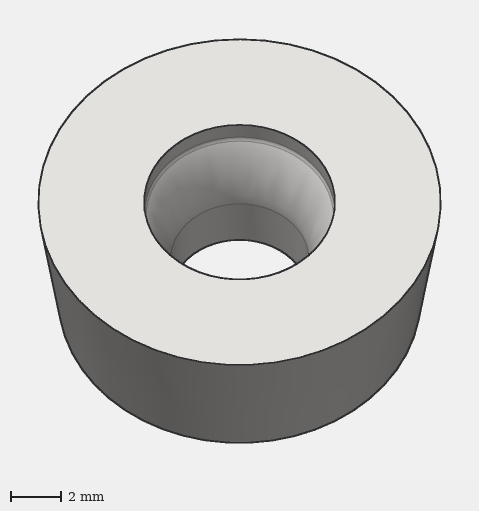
import cadquery as cq
import math

top_diameter = 15.99
height = 6.35
clearance_angle = 7.0
hole_diameter = 5.5
recess_diameter = 7.58
recess_depth = 0.8
seat_radius = 4.8
blend_radius = 0.32

top_radius = top_diameter / 2
bottom_radius = top_radius - height * math.tan(math.radians(clearance_angle))
hole_radius = hole_diameter / 2
recess_radius = recess_diameter / 2


def make_body():
    return (
        cq.Workplane("XZ")
        .polyline([(0, 0), (bottom_radius, 0), (top_radius, height), (0, height)])
        .close()
        .revolve(360, (0, 0), (0, 1))
    )


def make_screw_hole():
    """Through hole flaring up through the seat and the blend into the recess."""
    flare_width = recess_radius - hole_radius
    flare_angle = math.acos(1 - flare_width / (seat_radius + blend_radius))
    blend_top = height - recess_depth
    blend_bottom = blend_top - blend_radius * math.sin(flare_angle)
    seat_bottom = blend_bottom - seat_radius * math.sin(flare_angle)
    seat_rim_radius = hole_radius + seat_radius * (1 - math.cos(flare_angle))
    return (
        cq.Workplane("XZ")
        .lineTo(hole_radius, 0)
        .lineTo(hole_radius, seat_bottom)
        .tangentArcPoint((seat_rim_radius, blend_bottom), relative=False)
        .tangentArcPoint((recess_radius, blend_top), relative=False)
        .lineTo(recess_radius, height)
        .lineTo(0, height)
        .close()
        .revolve(360, (0, 0), (0, 1))
    )


result = make_body().cut(make_screw_hole())